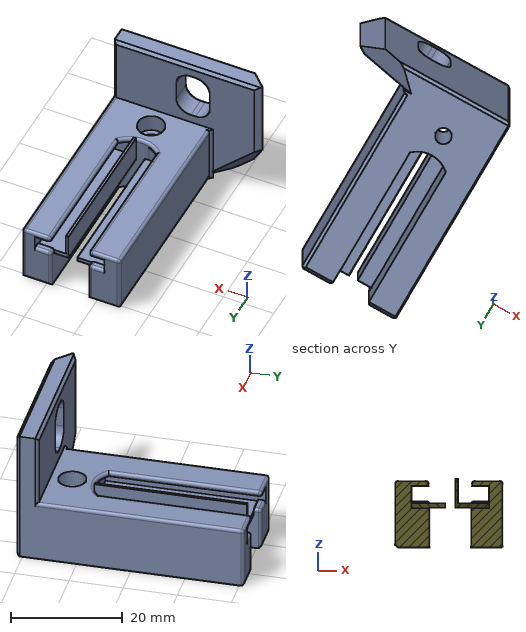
import cadquery as cq
WIDTH = 29.3
LENGTH = 41.95
HEIGHT = 25.7
EDGE_BREAK = 0.6

PLATE_THICKNESS = 4.07
FRONT_BEVEL_WIDTH = 3.35
POINT_DEPTH = 3.27
BACK_BEVEL_WIDTH = 1.3
CORNER_CUT_Z = 3.55
OVAL_WIDTH = 6.65
OVAL_HEIGHT = 9.55
OVAL_CORNER_RADIUS = 2.85
OVAL_X = 13.47
OVAL_Z = 18.55

ARM_WIDTH = 19.35
ARM_HEIGHT = 11.95
LOWER_RIGHT_BREAK = 0.25
ARM_LEFT = WIDTH - ARM_WIDTH
SLOT_X = 19.9
LIP_HALF_GAP = 3.85
LEDGE_HALF_GAP = 3.7
SLOT_END_RADIUS = 5.37
SLOT_END_Y = 12.17
SLOT_END_CENTRE_Y = SLOT_END_Y + SLOT_END_RADIUS
LIP_THICKNESS = 0.92
GROOVE_HALF_WIDTH = 6.93
LEDGE_TOP = 8.3
LEDGE_ROOT = 1.25
BRACE_SIZE = 0.55

SCREW_Y = 8.0
SCREW_DIAMETER = 3.0
HEAD_DIAMETER = 5.08
HEAD_DEPTH = 3.5

RAIL_START = 12.42
RAIL_END = 40.6
RAIL_BOTTOM = 7.15
RAIL_THICKNESS = 0.85
RAIL_HALF_GAP = 0.9
WEB_THICKNESS = 0.5
WEB_TOP = 12.4

OVERCUT = 2.1


def box(x_range, y_range, z_range):
    """Box between the given limits on each axis."""
    size = [high - low for low, high in (x_range, y_range, z_range)]
    corner = (x_range[0], y_range[0], z_range[0])
    return cq.Workplane("XY").box(*size, centered=False).translate(corner)


def about_slot(half_width):
    """X limits of something centred on the slot."""
    return (SLOT_X - half_width, SLOT_X + half_width)


def straight_slot(half_gap):
    """Straight part of the slot, open at the back."""
    return box(about_slot(half_gap), (SLOT_END_CENTRE_Y, LENGTH + OVERCUT), (-OVERCUT, HEIGHT))


def flared_half_profile(half_width):
    """Half of a slot section that widens with a round at the top of the arm."""
    round_start = ARM_HEIGHT - EDGE_BREAK
    flared_width = half_width + EDGE_BREAK
    return (
        cq.Workplane("XZ")
        .moveTo(0, -OVERCUT)
        .lineTo(half_width, -OVERCUT)
        .lineTo(half_width, round_start)
        .radiusArc((flared_width, ARM_HEIGHT), EDGE_BREAK)
        .lineTo(flared_width, HEIGHT)
        .lineTo(0, HEIGHT)
        .close()
    )


def slot_end(half_gap):
    """Front end of the slot: a channel bounded by a shallow arc, both flared at the top."""
    half_channel = flared_half_profile(half_gap).extrude(-(SLOT_END_RADIUS + OVERCUT))
    channel = half_channel.union(half_channel.mirror("YZ"))
    bowl = flared_half_profile(SLOT_END_RADIUS).revolve(360, (0, 0, 0), (0, 1, 0))
    bowl = bowl.translate((0, SLOT_END_RADIUS + EDGE_BREAK, 0))
    return channel.intersect(bowl).translate((SLOT_X, SLOT_END_Y - EDGE_BREAK, 0))


def make_plate():
    plate = (
        cq.Workplane("XY")
        .polyline(
            [
                (FRONT_BEVEL_WIDTH, 0),
                (WIDTH, 0),
                (WIDTH, PLATE_THICKNESS),
                (BACK_BEVEL_WIDTH, PLATE_THICKNESS),
                (0, POINT_DEPTH),
            ]
        )
        .close()
        .extrude(HEIGHT)
    )
    plate = plate.faces("<Y").edges("not(<X)").chamfer(EDGE_BREAK)
    plate = plate.faces(">Y").edges(">X or >Z").chamfer(EDGE_BREAK)
    return plate


def corner_cutter():
    """Oblique cut across the plate's lower left corner, equally inclined to X, Y and Z."""
    reach = FRONT_BEVEL_WIDTH + CORNER_CUT_Z
    outline = cq.Wire.makePolygon(
        [
            cq.Vector(reach + OVERCUT, 0, -OVERCUT),
            cq.Vector(-HEIGHT, 0, reach + HEIGHT),
            cq.Vector(-HEIGHT, 0, -OVERCUT),
        ],
        close=True,
    )
    sweep = cq.Vector(PLATE_THICKNESS, PLATE_THICKNESS, 0)
    return cq.Workplane(cq.Solid.extrudeLinear(outline, [], sweep))


def oval_cutter():
    """Oval opening through the plate, above the arm."""
    return (
        box(
            (OVAL_X - OVAL_WIDTH / 2, OVAL_X + OVAL_WIDTH / 2),
            (-OVERCUT, PLATE_THICKNESS + OVERCUT),
            (OVAL_Z - OVAL_HEIGHT / 2, OVAL_Z + OVAL_HEIGHT / 2),
        )
        .edges("|Y")
        .fillet(OVAL_CORNER_RADIUS)
    )


def lower_right_cutter():
    """Chamfer along the whole lower right edge."""
    return (
        cq.Workplane("XZ")
        .polyline([(WIDTH - LOWER_RIGHT_BREAK, 0), (WIDTH, 0), (WIDTH, LOWER_RIGHT_BREAK)])
        .close()
        .extrude(-LENGTH)
    )


def make_arm():
    arm = box((ARM_LEFT, WIDTH), (PLATE_THICKNESS / 2, LENGTH), (0, ARM_HEIGHT))
    arm = arm.cut(straight_slot(LIP_HALF_GAP))
    arm = arm.faces("<Z").edges("<X or >Y").chamfer(EDGE_BREAK)
    arm = arm.faces(">Y").edges("|Z").fillet(EDGE_BREAK)
    arm = arm.faces(">Z").edges("not(<Y)").fillet(EDGE_BREAK)
    arm = arm.cut(slot_end(LIP_HALF_GAP))
    under_lips = box(
        about_slot(GROOVE_HALF_WIDTH),
        (RAIL_START, LENGTH + OVERCUT),
        (-OVERCUT, ARM_HEIGHT - LIP_THICKNESS),
    )
    return arm.cut(under_lips)


def make_ledges():
    """Pair of ledges under the lips, rooted in the side walls."""
    ledges = box(
        about_slot(GROOVE_HALF_WIDTH + LEDGE_ROOT),
        (RAIL_START - LEDGE_ROOT, LENGTH),
        (0, LEDGE_TOP),
    ).cut(straight_slot(LEDGE_HALF_GAP))
    ledges = ledges.faces("<Z").edges(">Y").chamfer(EDGE_BREAK)
    inner_edges = cq.selectors.BoxSelector(
        (SLOT_X - LIP_HALF_GAP, LENGTH - EDGE_BREAK, 0),
        (SLOT_X + LIP_HALF_GAP, LENGTH + EDGE_BREAK, LEDGE_TOP),
    )
    ledges = ledges.faces(">Y").edges("|Z").edges(inner_edges).fillet(EDGE_BREAK)
    ledges = ledges.faces(">Z").edges("not(<X or >X or <Y)").fillet(EDGE_BREAK)
    return ledges.cut(slot_end(LEDGE_HALF_GAP))


def make_corner_brace():
    """Small 45-degree brace between the arm's left side and the back of the plate."""
    return (
        cq.Workplane("XY")
        .polyline(
            [
                (ARM_LEFT - BRACE_SIZE, PLATE_THICKNESS),
                (ARM_LEFT, PLATE_THICKNESS + BRACE_SIZE),
                (ARM_LEFT + EDGE_BREAK, PLATE_THICKNESS + BRACE_SIZE),
                (ARM_LEFT + EDGE_BREAK, PLATE_THICKNESS),
            ]
        )
        .close()
        .extrude(ARM_HEIGHT)
    )


def hole_from_arm_top(diameter, depth):
    """Round hole sunk from the top of the arm at the screw position."""
    return (
        cq.Workplane("XY")
        .workplane(offset=ARM_HEIGHT)
        .center(SLOT_X, SCREW_Y)
        .circle(diameter / 2)
        .extrude(-depth)
    )


def make_housing():
    front = make_plate().union(make_arm()).cut(corner_cutter())
    housing = front.union(make_ledges()).union(make_corner_brace())
    rail_recess = box(
        about_slot(GROOVE_HALF_WIDTH),
        (RAIL_START, RAIL_END),
        (RAIL_BOTTOM, ARM_HEIGHT - LIP_THICKNESS),
    )
    cutters = [
        oval_cutter(),
        lower_right_cutter(),
        hole_from_arm_top(SCREW_DIAMETER, ARM_HEIGHT),
        hole_from_arm_top(HEAD_DIAMETER, HEAD_DEPTH),
        rail_recess,
    ]
    for cutter in cutters:
        housing = housing.cut(cutter)
    return housing


def make_flat_rail():
    """Plain strip on the left ledge."""
    return box(
        (SLOT_X - GROOVE_HALF_WIDTH, SLOT_X - RAIL_HALF_GAP),
        (RAIL_START, RAIL_END),
        (RAIL_BOTTOM, RAIL_BOTTOM + RAIL_THICKNESS),
    )


def make_angle_rail():
    """Strip on the right ledge with a thin upright web along the slot."""
    inner_x = SLOT_X + RAIL_HALF_GAP
    flange = box(
        (inner_x, SLOT_X + GROOVE_HALF_WIDTH),
        (RAIL_START, RAIL_END),
        (RAIL_BOTTOM, RAIL_BOTTOM + RAIL_THICKNESS),
    )
    web = box((inner_x, inner_x + WEB_THICKNESS), (RAIL_START, RAIL_END), (RAIL_BOTTOM, WEB_TOP))
    return flange.union(web)


housing = make_housing()
flat_rail = make_flat_rail()
angle_rail = make_angle_rail()

result = cq.Compound.makeCompound([housing.val(), flat_rail.val(), angle_rail.val()])